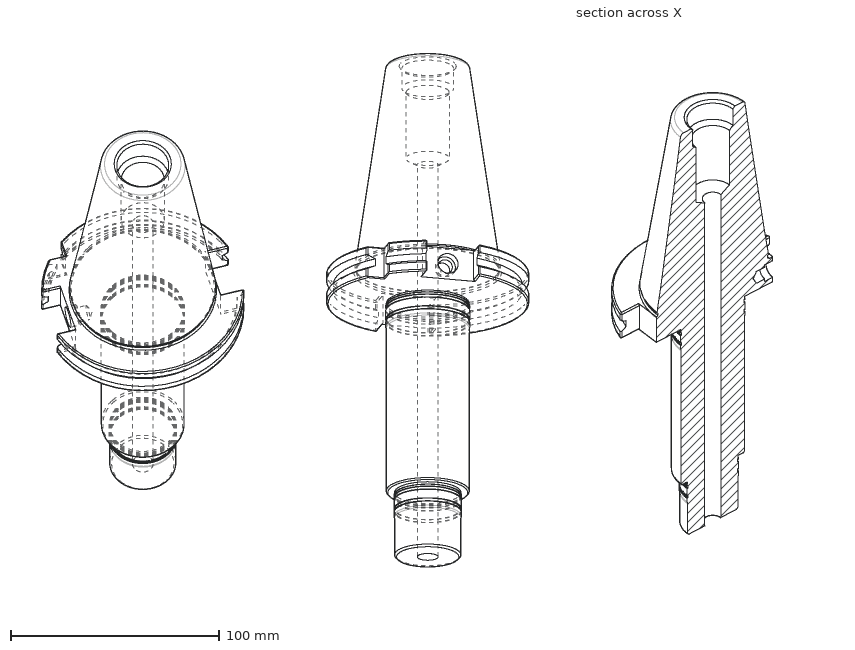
import cadquery as cq
import math

total_length = 249.5
taper_length = 101.8
gauge_diameter = 70.0
taper_ratio = 7 / 24
taper_overrun = 0.7
taper_tip_fillet = 2.0

relief_diameter = 69.0
relief_bevel = 0.5
relief_foot_diameter = 71.0
relief_foot_height = 0.7

flange_diameter = 97.3
flange_top = -3.2
flange_thickness = 15.7
rim_chamfer = 0.7

gripper_groove_middle = -11.0
gripper_groove_floor = 3.5
gripper_groove_depth = 3.2
gripper_groove_flare = 30.0

slot_width = 25.5
front_slot_floor = 37.5
back_slot_floor = 35.2
slot_chamfer = 0.7
notch_offset = 30.0
notch_chamfer = 0.5

screw_hole_diameter = 7.0
screw_counterbore_diameter = 10.0
screw_counterbore_depth = 5.0
screw_hole_depth = 10.0
drill_point_angle = 118.0

shank_diameter = 40.0
shank_bottom = -115.0
shank_chamfer = 0.7
shank_collar_top = -20.0

nose_diameter = 32.0
nose_chamfer = 1.0
nose_collar_top = -116.3

collar_height = 11.7
collar_step = 0.2
collar_bevel = 1.0
collar_groove_offsets = (1.0, 7.0)
collar_groove_width = 1.5
collar_groove_depth = 0.5

coolant_diameter = 10.0
thread_bore_diameter = 20.7
thread_bore_depth = 47.0
pilot_diameter = 25.0
pilot_depth = 11.2
pilot_chamfer = 1.2

part_bottom = taper_length - total_length
flange_bottom = flange_top - flange_thickness
flange_radius = flange_diameter / 2
half_slot = slot_width / 2
pick_margin = 0.2
corner_gap = 0.5


def taper_radius(z):
    return (gauge_diameter - taper_ratio * z) / 2


def drill_point_length(diameter):
    """Height of a drill-point cone that spans the given change of diameter."""
    return diameter / 2 / math.tan(math.radians(drill_point_angle / 2))


def turned(points):
    """Revolve an outline of (radius, z) points about the Z axis."""
    return cq.Workplane("XZ").polyline(points).close().revolve(360, (0, 0, 0), (0, 1, 0))


def taper():
    relief_radius = relief_diameter / 2
    cone_bottom = -taper_overrun
    cone = turned([
        (0, taper_length),
        (taper_radius(taper_length), taper_length),
        (taper_radius(cone_bottom), cone_bottom),
        (relief_radius, cone_bottom - relief_bevel),
        (relief_radius, flange_top + relief_foot_height),
        (relief_foot_diameter / 2, flange_top),
        (0, flange_top),
    ])
    return cone.faces(">Z").edges().fillet(taper_tip_fillet)


def collar(shaft_diameter, top):
    """The outline points of a grooved collar, from its top down to the bare shaft."""
    shaft_radius = shaft_diameter / 2
    collar_radius = shaft_radius + collar_step
    groove_radius = collar_radius - collar_groove_depth
    bottom = top - collar_height
    points = [(shaft_radius, top), (collar_radius, top)]
    for offset in collar_groove_offsets:
        groove_top = top - offset
        groove_bottom = groove_top - collar_groove_width
        points += [
            (collar_radius, groove_top),
            (groove_radius, groove_top),
            (groove_radius, groove_bottom),
            (collar_radius, groove_bottom),
        ]
    points += [(collar_radius, bottom + collar_bevel), (shaft_radius, bottom)]
    return points


def shank():
    shank_radius = shank_diameter / 2
    nose_radius = nose_diameter / 2
    return turned([
        (0, flange_bottom),
        (shank_radius, flange_bottom),
        *collar(shank_diameter, shank_collar_top),
        (shank_radius, shank_bottom + shank_chamfer),
        (shank_radius - shank_chamfer, shank_bottom),
        (nose_radius, shank_bottom),
        *collar(nose_diameter, nose_collar_top),
        (nose_radius, part_bottom + nose_chamfer),
        (nose_radius - nose_chamfer, part_bottom),
        (0, part_bottom),
    ])


def gripper_groove():
    floor_radius = flange_radius - gripper_groove_depth
    half_floor = gripper_groove_floor / 2
    half_mouth = half_floor + gripper_groove_depth * math.tan(math.radians(gripper_groove_flare))
    return turned([
        (floor_radius, gripper_groove_middle - half_floor),
        (flange_radius, gripper_groove_middle - half_mouth),
        (flange_radius, gripper_groove_middle + half_mouth),
        (floor_radius, gripper_groove_middle + half_floor),
    ])


def flange_cutter(x_min, x_max, y_min, y_max):
    """A block through the full flange thickness."""
    return cq.Workplane("XY", origin=(x_min, y_min, flange_bottom)).box(
        x_max - x_min, y_max - y_min, flange_thickness, centered=False
    )


def edges_within(x_range, y_range):
    """Select flange edges whose middles lie in the given ranges, limits included."""
    return cq.selectors.BoxSelector(
        (x_range[0] - pick_margin, y_range[0] - pick_margin, flange_bottom - pick_margin),
        (x_range[1] + pick_margin, y_range[1] + pick_margin, flange_top + pick_margin),
    )


def flange():
    slot_depths = ((-flange_radius, -front_slot_floor), (back_slot_floor, flange_radius))
    disc = cq.Workplane("XY", origin=(0, 0, flange_bottom)).circle(flange_radius).extrude(flange_thickness)
    for y_min, y_max in slot_depths:
        disc = disc.cut(flange_cutter(-half_slot, half_slot, y_min, y_max))
    disc = disc.cut(flange_cutter(-flange_radius, -notch_offset, -flange_radius, -notch_offset))

    for y_min, y_max in slot_depths:
        wall_edges = edges_within((-half_slot, half_slot), (y_min + corner_gap, y_max - corner_gap))
        disc = disc.edges(wall_edges).chamfer(slot_chamfer)
    notch_range = (-flange_radius, -notch_offset)
    corner = (-notch_offset, -notch_offset)
    notch_edges = edges_within(notch_range, notch_range) - edges_within(corner, corner)
    disc = disc.edges(notch_edges).chamfer(notch_chamfer)
    disc = disc.faces("|Z").edges("%CIRCLE").chamfer(rim_chamfer)
    return disc.cut(gripper_groove())


def screw_hole():
    """A blind drilled hole into the front slot floor, in line with the gripper groove."""
    hole_radius = screw_hole_diameter / 2
    counterbore_radius = screw_counterbore_diameter / 2
    tip_depth = screw_hole_depth + drill_point_length(screw_hole_diameter)
    outline = [
        (0, 0),
        (counterbore_radius, 0),
        (counterbore_radius, screw_counterbore_depth),
        (hole_radius, screw_counterbore_depth),
        (hole_radius, screw_hole_depth),
        (0, tip_depth),
    ]
    axis_frame = cq.Plane(
        origin=(0, -front_slot_floor, gripper_groove_middle), xDir=(1, 0, 0), normal=(0, 0, 1)
    )
    return cq.Workplane(axis_frame).polyline(outline).close().revolve(360, (0, 0, 0), (0, 1, 0))


def bore():
    """The drawbar bore at the small end of the taper and the coolant hole through the part."""
    coolant_radius = coolant_diameter / 2
    thread_radius = thread_bore_diameter / 2
    pilot_radius = pilot_diameter / 2
    pilot_bottom = taper_length - pilot_depth
    thread_bottom = taper_length - thread_bore_depth
    point_bottom = thread_bottom - drill_point_length(thread_bore_diameter - coolant_diameter)
    return turned([
        (0, part_bottom),
        (coolant_radius, part_bottom),
        (coolant_radius, point_bottom),
        (thread_radius, thread_bottom),
        (thread_radius, pilot_bottom - (pilot_radius - thread_radius)),
        (pilot_radius, pilot_bottom),
        (pilot_radius, taper_length - pilot_chamfer),
        (pilot_radius + pilot_chamfer, taper_length),
        (0, taper_length),
    ])


result = taper().union(flange()).union(shank()).cut(screw_hole()).cut(bore())